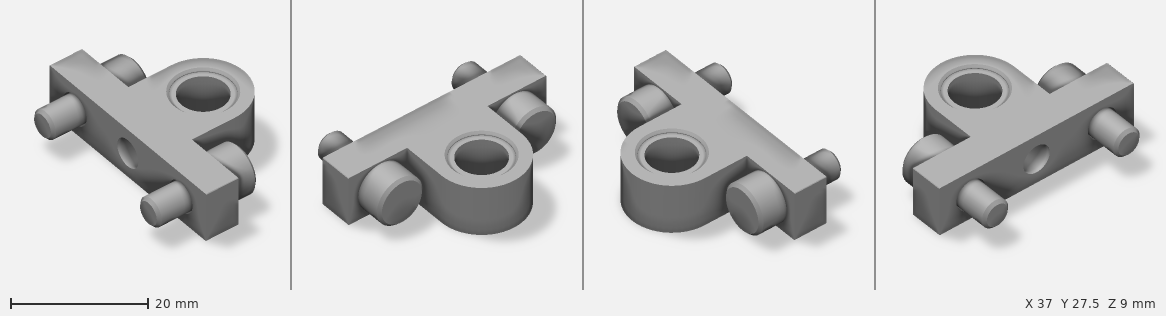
import cadquery as cq

plate_length = 37.0
plate_depth = 6.0
thickness = 9.0
end_chamfer = 0.1
lug_radius = 7.5
lug_center_y = plate_depth + 8.0

bore_diameter = 8.0
seat_diameter = 10.0
seat_depth = 0.5
seat_chamfer = 0.4

drill_diameter = 5.0
drill_depth = 6.0
drill_tip_height = 1.48

screw_spacing = 25.0
clearance_diameter = 5.5
shank_diameter = 5.0
shank_protrusion = 6.0
shank_chamfer = 0.5
head_diameter = 8.5
head_height = 5.0
head_chamfer = 0.5
head_base_chamfer = 0.1

screw_positions = [-screw_spacing / 2, screw_spacing / 2]


def make_plate():
    plate = cq.Workplane("XY").box(plate_length, plate_depth, thickness, centered=(True, False, True))
    return plate.edges("|Y").chamfer(end_chamfer)


def make_lug():
    straight = cq.Workplane("XY").box(
        2 * lug_radius, lug_center_y, thickness, centered=(True, False, True)
    )
    rounded = cq.Workplane("XY").cylinder(thickness, lug_radius).translate((0, lug_center_y, 0))
    return straight.union(rounded)


def make_lug_bore():
    """Cutter for the through bore and its chamfered seat."""
    bore = cq.Workplane("XY").cylinder(thickness, bore_diameter / 2)
    seat_radius = seat_diameter / 2
    seat_profile = [
        (0, -seat_depth),
        (seat_radius, -seat_depth),
        (seat_radius, -seat_chamfer),
        (seat_radius + seat_chamfer, 0),
        (0, 0),
    ]
    seat = cq.Workplane("XZ").polyline(seat_profile).close().revolve(360, (0, 0), (0, 1))
    seat = seat.translate((0, 0, thickness / 2))
    return bore.union(seat).translate((0, lug_center_y, 0))


def make_drilled_hole():
    """Cutter for the blind hole, ending in a conical drill tip."""
    profile = [
        (0, 0),
        (drill_diameter / 2, 0),
        (drill_diameter / 2, drill_depth),
        (0, drill_depth + drill_tip_height),
    ]
    return cq.Workplane("XY").polyline(profile).close().revolve(360, (0, 0), (0, 1))


def make_bracket():
    bracket = make_plate().union(make_lug()).cut(make_lug_bore()).cut(make_drilled_hole())
    for x in screw_positions:
        clearance = cq.Workplane("XZ").center(x, 0).circle(clearance_diameter / 2).extrude(-plate_depth)
        bracket = bracket.cut(clearance)
    return bracket


def make_screw(x):
    """One screw at the given X, its head resting on the back of the plate."""
    shank = (
        cq.Workplane("XZ", origin=(x, -shank_protrusion, 0))
        .circle(shank_diameter / 2)
        .extrude(-(shank_protrusion + plate_depth))
        .faces("<Y")
        .chamfer(shank_chamfer)
    )
    head = (
        cq.Workplane("XZ", origin=(x, plate_depth, 0))
        .circle(head_diameter / 2)
        .extrude(-head_height)
        .faces(">Y")
        .chamfer(head_chamfer)
        .faces("<Y")
        .chamfer(head_base_chamfer)
    )
    return shank.union(head)


bracket = make_bracket()
screws = [make_screw(x) for x in screw_positions]

result = cq.Compound.makeCompound([bracket.val(), *[screw.val() for screw in screws]])